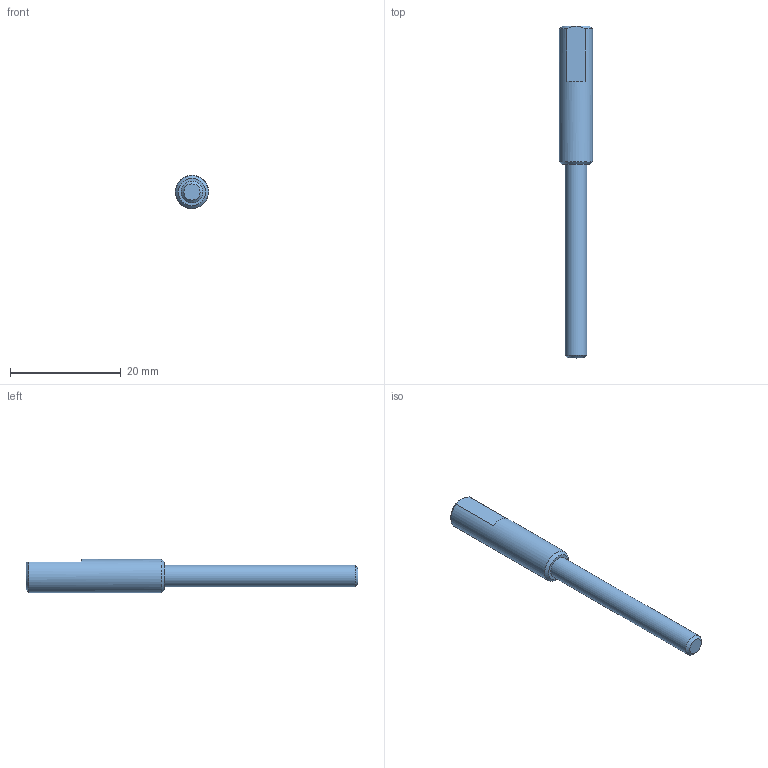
import cadquery as cq

total_length = 60.0
head_length = 25.0
head_diameter = 6.0
pin_diameter = 3.93
chamfer = 0.5
flat_length = 10.0
flat_depth = 0.5

head_radius = head_diameter / 2
pin_radius = pin_diameter / 2
tip_y = 0.0
head_end_y = total_length
shoulder_y = head_end_y - head_length
flat_z = head_radius - flat_depth


def make_stepped_pin():
    """Thin pin and thicker head, with a chamfer on every outer edge."""
    half_profile = [
        (0, tip_y),
        (pin_radius - chamfer, tip_y),
        (pin_radius, tip_y + chamfer),
        (pin_radius, shoulder_y),
        (head_radius - chamfer, shoulder_y),
        (head_radius, shoulder_y + chamfer),
        (head_radius, head_end_y - chamfer),
        (head_radius - chamfer, head_end_y),
        (0, head_end_y),
    ]
    return cq.Workplane("XY").polyline(half_profile).close().revolve(360, (0, 0), (0, 1))


def make_flat_cutter():
    """Block that removes the top of the head to leave a clamping flat."""
    return (
        cq.Workplane("XY")
        .box(head_diameter, flat_length, head_diameter, centered=(True, False, False))
        .translate((0, head_end_y - flat_length, flat_z))
    )


result = make_stepped_pin().cut(make_flat_cutter())